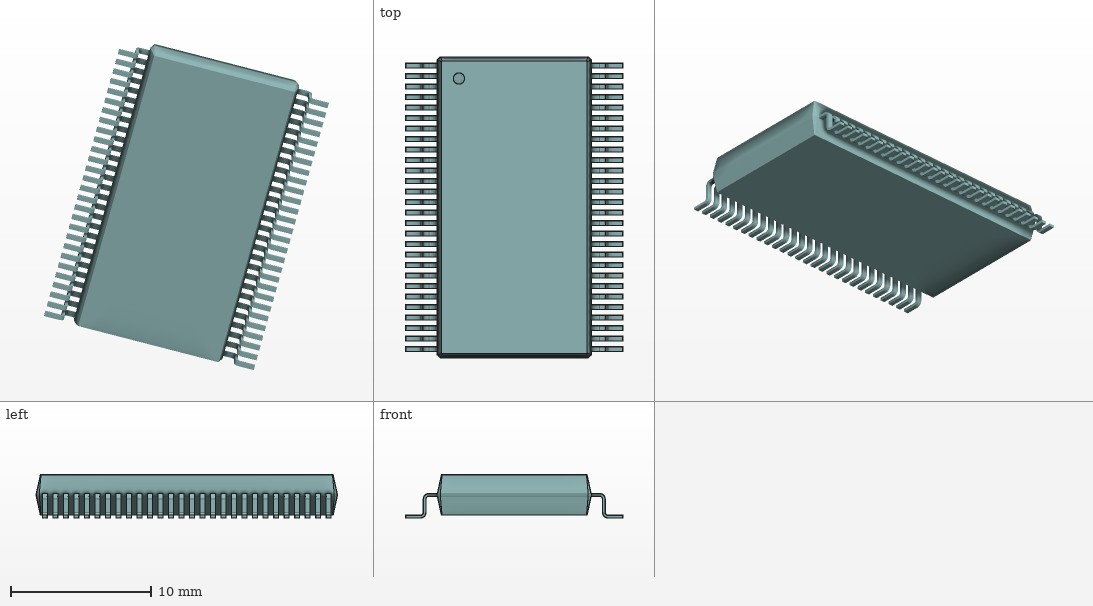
import cadquery as cq
import math

span_x = 15.5
total_height = 3.1
body_width = 11.0
body_length = 21.5
standoff = 0.2

band_height = 0.16
draft_inset = 0.3
corner_chamfer = 0.22

mark_diameter = 0.8
mark_depth = 0.1
mark_inset_x = 1.55
mark_inset_y = 1.55

leads_per_side = 28
lead_pitch = 0.75
lead_width = 0.36
lead_thickness = 0.2
lead_outer_x = 6.5
bend_inner_radius = 0.2
lead_embed = 0.5

mid_z = (standoff + total_height) / 2
half_height = (total_height - standoff - band_height) / 2
draft_angle = math.degrees(math.atan2(draft_inset, half_height))
bend_outer_radius = bend_inner_radius + lead_thickness


def body_blank(height, taper=0.0):
    """Chamfered rectangle at the band size, extruded upward from Z = 0."""
    half_x = body_width / 2
    half_y = body_length / 2
    cut_x = half_x - corner_chamfer
    cut_y = half_y - corner_chamfer
    outline = [
        (cut_x, -half_y), (half_x, -cut_y),
        (half_x, cut_y), (cut_x, half_y),
        (-cut_x, half_y), (-half_x, cut_y),
        (-half_x, -cut_y), (-cut_x, -half_y),
    ]
    return cq.Workplane("XY").polyline(outline).close().extrude(height, taper=taper)


def make_body():
    """Straight band with a drafted half above it and its mirror image below."""
    band = body_blank(band_height).translate((0, 0, mid_z - band_height / 2))
    upper = body_blank(half_height, draft_angle).translate((0, 0, mid_z + band_height / 2))
    lower = upper.mirror("XY", (0, 0, mid_z))
    return band.union(upper).union(lower)


def make_pin_mark():
    """Shallow round recess in the top face, beside the first lead."""
    mark_x = -body_width / 2 + mark_inset_x
    mark_y = body_length / 2 - mark_inset_y
    floor_z = total_height - mark_depth
    return (
        cq.Workplane("XY", origin=(mark_x, mark_y, floor_z))
        .circle(mark_diameter / 2)
        .extrude(mark_depth)
    )


def make_lead():
    """One lead on the +X side, centred on Y = 0."""
    root_x = body_width / 2 - lead_embed
    tip_x = span_x / 2
    inner_x = lead_outer_x - lead_thickness
    shoulder_top = mid_z + lead_thickness / 2
    shoulder_bottom = shoulder_top - lead_thickness
    upper_center_x = lead_outer_x - bend_outer_radius
    upper_center_z = shoulder_top - bend_outer_radius
    lower_center_x = inner_x + bend_outer_radius
    lower_center_z = bend_outer_radius
    outer_diagonal = bend_outer_radius * math.sqrt(0.5)
    inner_diagonal = bend_inner_radius * math.sqrt(0.5)
    return (
        cq.Workplane("XZ", origin=(0, lead_width / 2, 0))
        .moveTo(root_x, shoulder_top)
        .lineTo(upper_center_x, shoulder_top)
        .threePointArc(
            (upper_center_x + outer_diagonal, upper_center_z + outer_diagonal),
            (lead_outer_x, upper_center_z),
        )
        .lineTo(lead_outer_x, lower_center_z)
        .threePointArc(
            (lower_center_x - inner_diagonal, lower_center_z - inner_diagonal),
            (lower_center_x, lead_thickness),
        )
        .lineTo(tip_x, lead_thickness)
        .lineTo(tip_x, 0)
        .lineTo(lower_center_x, 0)
        .threePointArc(
            (lower_center_x - outer_diagonal, lower_center_z - outer_diagonal),
            (inner_x, lower_center_z),
        )
        .lineTo(inner_x, upper_center_z)
        .threePointArc(
            (upper_center_x + inner_diagonal, upper_center_z + inner_diagonal),
            (upper_center_x, shoulder_bottom),
        )
        .lineTo(root_x, shoulder_bottom)
        .close()
        .extrude(lead_width)
    )


def make_all_leads():
    """Evenly spaced leads on both long sides, centred along Y."""
    right_lead = make_lead().val()
    left_lead = right_lead.mirror("YZ")
    first_y = -lead_pitch * (leads_per_side - 1) / 2
    leads = []
    for index in range(leads_per_side):
        offset = cq.Vector(0, first_y + index * lead_pitch, 0)
        leads.append(right_lead.translate(offset))
        leads.append(left_lead.translate(offset))
    return leads


body = make_body().cut(make_pin_mark())
result = cq.Workplane(body.val().fuse(*make_all_leads()))